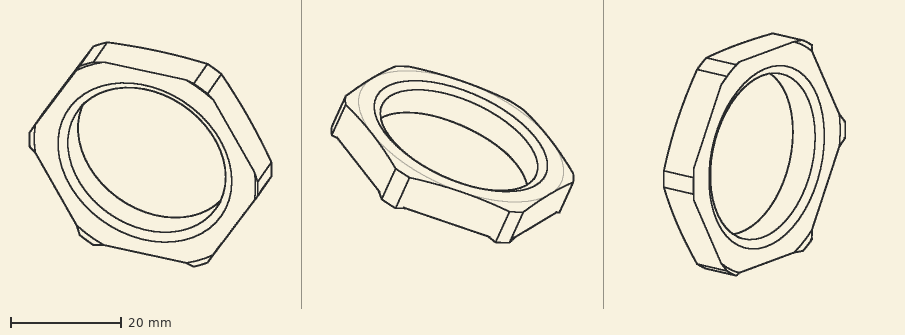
import cadquery as cq
import math

corner_diameter = 44.5
across_flats = 40.0
total_thickness = 7.6

lug_height = 0.65
lug_root_radius = 21.55

back_chamfer_depth = 0.65

bore_radius = 15.35
bore_chamfer_width = 1.55
bore_chamfer_depth = 0.9

corner_radius = corner_diameter / 2
flat_radius = across_flats / 2
bore_mouth_radius = bore_radius + bore_chamfer_width
front_y = -total_thickness / 2
back_y = total_thickness / 2
seat_y = front_y + lug_height
back_chamfer_y = back_y - back_chamfer_depth


def hexagonal_prism():
    """Hexagon with corners on the X axis and flats facing +Z and -Z."""
    across_corners = across_flats / math.cos(math.pi / 6)
    return (
        cq.Workplane("XZ", origin=(0, back_y, 0))
        .polygon(6, across_corners)
        .extrude(total_thickness)
    )


def turned_profile():
    """Ring with a dished front face, a back chamfer and a chamfered bore."""
    return (
        cq.Workplane("XY")
        .moveTo(bore_mouth_radius, seat_y)
        .lineTo(lug_root_radius, seat_y)
        .lineTo(corner_radius, front_y)
        .lineTo(corner_radius, back_chamfer_y)
        .lineTo(flat_radius, back_y)
        .lineTo(bore_mouth_radius, back_y)
        .lineTo(bore_radius, back_y - bore_chamfer_depth)
        .lineTo(bore_radius, seat_y + bore_chamfer_depth)
        .close()
        .revolve(360, (0, 0, 0), (0, 1, 0))
    )


result = hexagonal_prism().intersect(turned_profile())